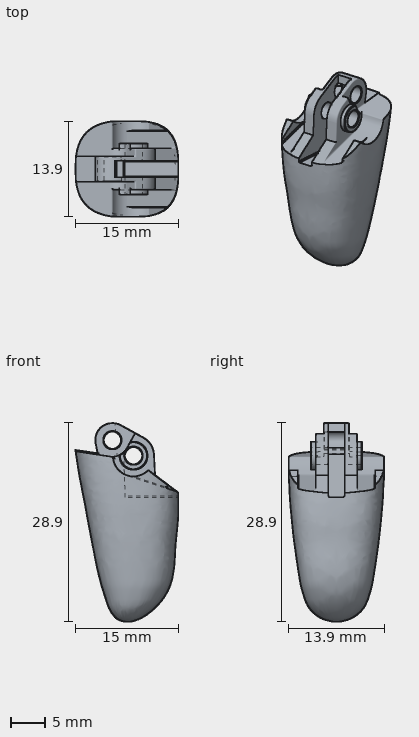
import cadquery as cq
import math


hole_diameter = 2.5
upper_x, upper_z = -3.06, 2.26
barrel_radius = 2.5
cheek_radius = 3.0
barrel_width = 3.7
recess_radius = 2.4
cheek_width = 6.0
boss_width = 7.5
boss_diameter = 4.1
rim_round = 0.2
hole_chamfer = 0.1
barrel_lean = 11.0
cheek_lean = 3.0
barrel_flank_length = 3.5
cheek_flank_length = 3.6
recess_wall_length = 6.0

left_deck_angle = 8.6
platform_height = 0.2
right_deck_angle = 36.9
right_deck_drop = 0.39
pocket_width = 11.3
pocket_bevel = 0.15
pocket_angle = 18.1

barrel_base_round = 0.19
cheek_base_round = 0.25
scoop_left_round = 0.3
scoop_right_round = 0.15
rib_round = 0.1

edge_margin = 0.4
scoop_left_edge = (-2.95, -0.4)
scoop_right_edge = (2.2, -2.1)
rib_edge = (2.84, -2.62)
barrel_foot_edge = (-2.06, 0.24)
recess_top_edge = (0.25, 3.29)

slot_width = 2.4
slot_floor_z = -6.0
slot_floor_bevel = 0.17
slot_top_x, slot_top_z = -2.73, upper_z + barrel_radius
slot_step_z = 0.2
slot_step_left_x = -2.4
slot_step_right_x = -1.46
slot_floor_x = -1.25

stations = [
    (1.00, -8.48, 6.53, 7.05),
    (-5.50, -7.40, 6.53, 6.82),
    (-10.40, -6.45, 6.40, 6.40),
    (-14.60, -5.66, 6.05, 5.87),
    (-17.40, -5.05, 5.75, 5.44),
    (-19.40, -4.50, 5.12, 5.06),
    (-20.80, -4.05, 4.30, 4.62),
    (-22.20, -3.55, 3.05, 3.92),
    (-22.90, -3.14, 2.22, 3.27),
    (-23.62, -2.53, 1.09, 2.22),
    (-24.05, -1.60, -0.05, 0.95),
    (-24.16, -1.10, -0.50, 0.40),
]
top_left_squareness = 2.7
top_right_squareness = 3.4
tip_squareness = 2.0
outline_points = 32

reach = 20.0


def direction(angle):
    """Unit vector in the XZ plane at an angle above +X, in degrees."""
    return math.cos(math.radians(angle)), math.sin(math.radians(angle))


def offset_point(x, z, distance, angle):
    """Point at a distance from (x, z), in the direction of an angle above +X."""
    c, s = direction(angle)
    return x + distance * c, z + distance * s


def slab(outline, width):
    """Extrude an XZ outline symmetrically about Y = 0."""
    return outline.extrude(width / 2, both=True)


def xz_polygon(points, width):
    return slab(cq.Workplane("XZ").polyline(points).close(), width)


def xz_disc(x, z, radius, width):
    return slab(cq.Workplane("XZ").center(x, z).circle(radius), width)


def half_space_above(x, z, angle, width):
    """Block above a sloping line through (x, z)."""
    block = cq.Workplane("XY").box(2 * reach, width, reach).translate((0, 0, reach / 2))
    return block.rotate((0, 0, 0), (0, 1, 0), -angle).translate((x, 0, z))


def edges_near(x, z, margin=edge_margin, width=reach):
    """Selector of the edges whose centre lies within margin of (x, z), anywhere across the width."""
    return cq.selectors.BoxSelector(
        (x - margin, -width / 2, z - margin),
        (x + margin, width / 2, z + margin),
    )


def station_outline(z, left, right, half_width):
    """Closed superellipse section at height z."""
    top_z, tip_z = stations[0][0], stations[-1][0]
    share = (z - tip_z) / (top_z - tip_z)
    middle = (left + right) / 2
    half_length = (right - left) / 2
    points = []
    for i in range(outline_points):
        c, s = direction(360 * i / outline_points)
        top_squareness = top_right_squareness if c > 0 else top_left_squareness
        power = 2 / (tip_squareness + (top_squareness - tip_squareness) * share)
        x = middle + half_length * math.copysign(abs(c) ** power, c)
        y = half_width * math.copysign(abs(s) ** power, s)
        points.append(cq.Vector(x, y, z))
    return cq.Wire.assembleEdges([cq.Edge.makeSpline(points, periodic=True)])


def make_envelope():
    """Fingertip before its top is shaped."""
    outlines = [station_outline(*station) for station in stations]
    solid = cq.occ_impl.shapes.loft(outlines, cap=True, continuity="C1", parametrization="chordal")
    return cq.Workplane(solid)


def left_deck_cut(height):
    """Space above the left deck, raised by height."""
    foot = offset_point(upper_x, upper_z, recess_radius - height, -90 - left_deck_angle)
    return half_space_above(*foot, -left_deck_angle, reach)


def right_deck_cut():
    foot = offset_point(0, 0, right_deck_drop, -90 - right_deck_angle)
    return half_space_above(*foot, -right_deck_angle, reach)


def side_cut():
    """Scoop and pocket beside the +Y cheek, shaped to leave a fillet at the cheek's foot."""
    tangent = offset_point(0, 0, cheek_radius, -90 - pocket_angle)
    pocket_end = offset_point(*tangent, reach, -pocket_angle)
    start = cq.Workplane("XZ", origin=(0, cheek_width / 2, 0))
    scoop = start.circle(cheek_radius).extrude(-reach).faces("<Y").edges().fillet(cheek_base_round)
    pocket = (
        start.moveTo(*tangent)
        .lineTo(*pocket_end)
        .lineTo(pocket_end[0], cheek_radius)
        .lineTo(0, cheek_radius)
        .threePointArc((-cheek_radius, 0), tangent)
        .close()
        .extrude(-(pocket_width - cheek_width) / 2)
        .faces("<Y").edges().fillet(cheek_base_round)
        .faces(">Y").edges().chamfer(pocket_bevel)
    )
    return scoop.union(pocket)


def make_fingertip(envelope):
    """Fingertip with its decks, scoop, pocket, ribs and platform."""
    left_side = cq.Workplane("XY").box(reach, reach, 2 * reach).translate((-reach / 2, 0, 0))
    right_side = left_side.mirror("YZ")
    body = envelope.cut(left_deck_cut(0).intersect(left_side)).cut(right_deck_cut().intersect(right_side))

    beside_cheek = side_cut()
    body = body.cut(beside_cheek).cut(beside_cheek.mirror("XZ"))
    body = body.edges("|Y").edges(edges_near(*scoop_left_edge)).fillet(scoop_left_round)
    body = body.edges("|Y").edges(edges_near(*scoop_right_edge)).fillet(scoop_right_round)
    body = body.edges(edges_near(*rib_edge, edge_margin, cheek_width + edge_margin)).fillet(rib_round)

    platform_side = cq.Workplane("XY").box(reach, barrel_width, 3 * reach)
    platform_side = platform_side.translate((upper_x - reach / 2, 0, 0))
    return body.union(envelope.cut(left_deck_cut(platform_height)).intersect(platform_side))


def hinge_tangent_angle():
    """Angle of the outward normal of the line touching both hinge rounds."""
    spacing = math.hypot(upper_x, upper_z)
    line_angle = math.degrees(math.atan2(upper_z, -upper_x))
    turn = math.degrees(math.asin((cheek_radius - barrel_radius) / spacing))
    return 90 - (line_angle - turn)


def make_barrel():
    """Narrow part of the hinge, holding the upper hole."""
    tangent_angle = hinge_tangent_angle()
    flank_angle = 180 + barrel_lean
    flank = offset_point(upper_x, upper_z, barrel_radius, flank_angle)
    outline = (
        cq.Workplane("XZ")
        .moveTo(*offset_point(*flank, barrel_flank_length, flank_angle + 90))
        .lineTo(*flank)
        .threePointArc(
            offset_point(upper_x, upper_z, barrel_radius, (flank_angle + tangent_angle) / 2),
            offset_point(upper_x, upper_z, barrel_radius, tangent_angle),
        )
        .lineTo(*offset_point(0, 0, cheek_radius, tangent_angle))
        .lineTo(0, -cheek_radius)
        .close()
    )
    return slab(outline, barrel_width).faces("<Y or >Y").edges().fillet(rim_round)


def make_recess():
    """Clearance about the upper hole that narrows the hinge to the barrel."""
    wall_angle = hinge_tangent_angle()
    wall_foot = offset_point(upper_x, upper_z, recess_radius, wall_angle - 90)
    wall_top = offset_point(*wall_foot, recess_wall_length, wall_angle)
    far_top = offset_point(*wall_top, 2 * recess_radius, wall_angle + 90)
    far_foot = offset_point(*wall_foot, 2 * recess_radius, wall_angle + 90)
    above = xz_polygon([wall_foot, wall_top, far_top, far_foot], reach)
    return above.union(xz_disc(upper_x, upper_z, recess_radius, reach))


def make_cheeks():
    """Wide part of the hinge with the bosses about the lower hole."""
    tangent_angle = hinge_tangent_angle()
    flank = offset_point(0, 0, cheek_radius, cheek_lean)
    outline = (
        cq.Workplane("XZ")
        .moveTo(*offset_point(upper_x, upper_z, barrel_radius, tangent_angle))
        .lineTo(*offset_point(0, 0, cheek_radius, tangent_angle))
        .threePointArc(offset_point(0, 0, cheek_radius, (tangent_angle + cheek_lean) / 2), flank)
        .lineTo(*offset_point(*flank, cheek_flank_length, cheek_lean - 90))
        .lineTo(0, -cheek_radius)
        .lineTo(*offset_point(upper_x, upper_z, recess_radius, -90 - left_deck_angle))
        .close()
    )
    cheeks = slab(outline, cheek_width).cut(make_recess())
    cheeks = cheeks.edges("|Y").edges(edges_near(*recess_top_edge)).fillet(rim_round)
    cheeks = cheeks.faces("<Y or >Y").edges().fillet(rim_round)
    boss = xz_disc(0, 0, boss_diameter / 2, boss_width).faces("<Y or >Y").edges().chamfer(hole_chamfer)
    return cheeks.union(boss.cut(make_recess()))


def make_slot():
    """Stepped slot that forks the hinge and runs out through the right side."""
    profile = [
        (slot_top_x, slot_top_z),
        (slot_step_left_x, slot_step_z),
        (slot_step_right_x, slot_step_z),
        (slot_floor_x, slot_floor_z),
        (reach, slot_floor_z),
        (reach, slot_top_z),
    ]
    return xz_polygon(profile, slot_width).faces("<Z").edges("|X").chamfer(slot_floor_bevel)


def drill(part, x, z, width):
    """Hinge hole along Y with chamfered rims at the given width."""
    part = part.cut(xz_disc(x, z, hole_diameter / 2, reach))
    for side in (-1, 1):
        cone = cq.Solid.makeCone(
            hole_diameter / 2 + hole_chamfer,
            hole_diameter / 2,
            hole_chamfer,
            cq.Vector(x, side * width / 2, z),
            cq.Vector(0, -side, 0),
        )
        part = part.cut(cq.Workplane(cone))
    return part


def make_part():
    part = make_fingertip(make_envelope()).union(make_cheeks()).union(make_barrel())
    barrel_foot = edges_near(*barrel_foot_edge, edge_margin, barrel_width + edge_margin)
    part = part.edges(barrel_foot).fillet(barrel_base_round)
    part = part.cut(make_slot())
    part = drill(part, upper_x, upper_z, barrel_width)
    return drill(part, 0, 0, boss_width)


result = make_part()